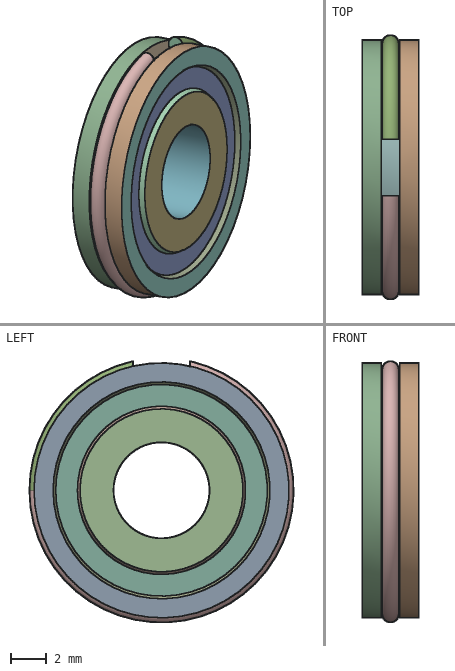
import cadquery as cq

width = 3.2
wheel_radius = 7.17
bore_radius = 2.69

ring_outer_radius = 7.44
wire_diameter = 0.94
wire_radius = wire_diameter / 2
ring_center_radius = ring_outer_radius - wire_radius
ring_gap = 3.18

groove_width = 1.03
groove_floor_radius = 6.35

recess_outer_radius = 6.1
recess_inner_radius = 4.58
recess_taper = 0.15
recess_depth = 0.3


def make_wheel():
    """Revolve the wheel section, drawn as (x, radius) points."""
    face_x = width / 2
    floor_x = face_x - recess_depth
    groove_x = groove_width / 2
    right_half = [
        (groove_x, groove_floor_radius),
        (groove_x, wheel_radius),
        (face_x, wheel_radius),
        (face_x, recess_outer_radius),
        (floor_x, recess_outer_radius - recess_taper),
        (floor_x, recess_inner_radius + recess_taper),
        (face_x, recess_inner_radius),
        (face_x, bore_radius),
    ]
    left_half = [(-x, radius) for x, radius in reversed(right_half)]
    section = cq.Workplane("XY").polyline(right_half + left_half).close()
    return section.revolve(360, (0, 0, 0), (1, 0, 0))


def make_split_ring():
    """Revolve the round wire about X and cut a parallel-sided gap at the top."""
    ring = (
        cq.Workplane("XY")
        .center(0, ring_center_radius)
        .circle(wire_radius)
        .revolve(360, (0, -ring_center_radius, 0), (1, -ring_center_radius, 0))
    )
    gap = cq.Workplane("XY").box(
        width, ring_gap, ring_outer_radius, centered=(True, True, False)
    )
    return ring.cut(gap)


wheel = make_wheel()
split_ring = make_split_ring()

result = cq.Compound.makeCompound([wheel.val(), *split_ring.vals()])